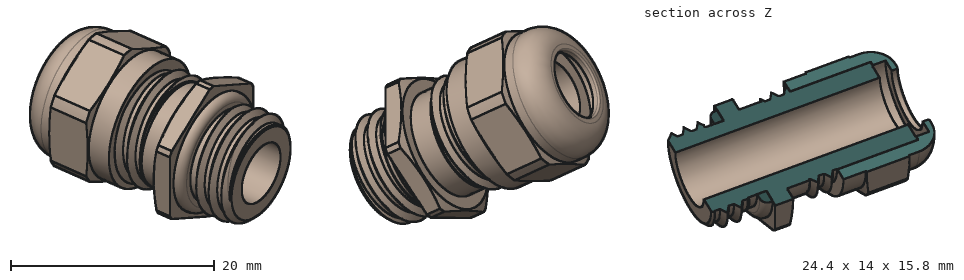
import cadquery as cq
import math


THROAT_END = 0.73
SEAT = 2.15
NUT_HEX_START = 3.73
NUT_HEX_END = 8.45
NUT_END = 10.88
SHOULDER = 13.9
FLANGE_START = 16.35
FLANGE_END = 18.35
RING_END = 19.35
ENTRY_THREAD_START = 20.3
LENGTH = 24.35

NUT_DIAMETER = 13.73
DOME_FACE_DIAMETER = 8.38
THROAT_DIAMETER = 7.05
MOUTH_ROUNDING = 0.2
CAVITY_DIAMETER = 9.9

ACROSS_FLATS = 14.0
NUT_CORNER_DIAMETER = 15.49
NUT_HEX_CHAMFER = 0.22
FLANGE_CORNER_DIAMETER = 15.8
FLANGE_CHAMFER = 0.4

BORE_DIAMETER = 6.5
STEM_DIAMETER = 10.8
COLLAR_DIAMETER = 11.1
NECK_DIAMETER = 9.9
ENTRY_ROOT_DIAMETER = 10.15
END_DIAMETER = 9.9

PITCH = 1.5
RIDGE_HEIGHT = 0.75
RIDGE_WIDTH = 0.97
RIDGE_ROOT_DEPTH = 0.05
NUT_THREAD_CREST = 12.2
ENTRY_THREAD_CREST = 21.85

RING_EDGE_DIAMETER = 11.15
RING_SECTION_RADIUS = 0.83


def turned(outline):
    """Solid of revolution about X from a closed (x, radius) outline."""
    return outline.close().revolve(360, (0, 0, 0), (1, 0, 0))


def cylinder(start, end, diameter):
    return cq.Workplane("YZ", origin=(start, 0, 0)).circle(diameter / 2).extrude(end - start)


def hexagon(start, end, corner_diameter, chamfer, face_diameter, chamfer_back):
    """Hexagonal prism with corners up and down, chamfered at the front and optionally the back."""
    prism = (
        cq.Workplane("YZ", origin=(start, 0, 0))
        .polygon(6, ACROSS_FLATS / math.cos(math.pi / 6))
        .extrude(end - start)
        .rotate((0, 0, 0), (1, 0, 0), 30)
    )
    corner_radius = corner_diameter / 2
    face_radius = face_diameter / 2
    envelope = (
        cq.Workplane("XY")
        .moveTo(start, 0)
        .lineTo(start, face_radius)
        .lineTo(start + chamfer, corner_radius)
    )
    if chamfer_back:
        envelope = envelope.lineTo(end - chamfer, corner_radius).lineTo(end, face_radius)
    else:
        envelope = envelope.lineTo(end, corner_radius)
    return prism.intersect(turned(envelope.lineTo(end, 0)))


def threaded_rod(root_diameter, crest_at_top, start, end):
    """Rod along X with a V ridge wound around it, overrunning both start and end."""
    whole_turns_before = math.ceil((crest_at_top - start) / PITCH) + 1
    turns_before = whole_turns_before + 0.5
    helix_start = crest_at_top - turns_before * PITCH
    turns = math.ceil((end - helix_start) / PITCH) + 1
    helix_length = turns * PITCH
    root_radius = root_diameter / 2
    base_radius = root_radius - RIDGE_ROOT_DEPTH
    half_base = RIDGE_WIDTH / 2 * (1 + RIDGE_ROOT_DEPTH / RIDGE_HEIGHT)
    helix = cq.Wire.makeHelix(PITCH, helix_length, root_radius)
    ridge = (
        cq.Workplane("XZ")
        .moveTo(base_radius, -half_base)
        .lineTo(root_radius + RIDGE_HEIGHT, 0)
        .lineTo(base_radius, half_base)
        .close()
        .sweep(cq.Workplane(obj=helix), isFrenet=True)
    )
    ridge = ridge.rotate((0, 0, 0), (0, 1, 0), 90).translate((helix_start, 0, 0))
    core = cylinder(helix_start - PITCH, helix_start + helix_length + PITCH, root_diameter)
    return core.union(ridge)


def make_nut():
    nut_radius = NUT_DIAMETER / 2
    throat_radius = THROAT_DIAMETER / 2
    mouth_radius = throat_radius + MOUTH_ROUNDING
    cavity_radius = CAVITY_DIAMETER / 2
    stem_radius = STEM_DIAMETER / 2
    dome_face_radius = DOME_FACE_DIAMETER / 2
    dome_rounding = nut_radius - dome_face_radius
    shell = turned(
        cq.Workplane("XY")
        .moveTo(0, mouth_radius)
        .lineTo(0, dome_face_radius)
        .radiusArc((dome_rounding, nut_radius), dome_rounding)
        .lineTo(NUT_END, nut_radius)
        .lineTo(NUT_END, stem_radius)
        .lineTo(SEAT, stem_radius)
        .lineTo(SEAT, cavity_radius)
        .lineTo(THROAT_END, cavity_radius)
        .lineTo(THROAT_END, throat_radius)
        .lineTo(MOUTH_ROUNDING, throat_radius)
        .radiusArc((0, mouth_radius), MOUTH_ROUNDING)
    )
    grip = hexagon(
        NUT_HEX_START, NUT_HEX_END, NUT_CORNER_DIAMETER, NUT_HEX_CHAMFER, NUT_DIAMETER, True
    ).cut(cylinder(NUT_HEX_START, NUT_HEX_END, STEM_DIAMETER))
    return shell.union(grip).solids()


def make_nut_thread():
    rod = threaded_rod(STEM_DIAMETER, NUT_THREAD_CREST, NUT_END, SHOULDER)
    return rod.intersect(cylinder(NUT_END, SHOULDER, NUT_DIAMETER))


def make_entry_thread():
    rod = threaded_rod(ENTRY_ROOT_DIAMETER, ENTRY_THREAD_CREST, ENTRY_THREAD_START, LENGTH)
    end_radius = END_DIAMETER / 2
    clear_radius = ENTRY_ROOT_DIAMETER / 2 + 2 * RIDGE_HEIGHT
    envelope = turned(
        cq.Workplane("XY")
        .moveTo(ENTRY_THREAD_START, 0)
        .lineTo(ENTRY_THREAD_START, clear_radius)
        .lineTo(LENGTH - (clear_radius - end_radius), clear_radius)
        .lineTo(LENGTH, end_radius)
        .lineTo(LENGTH, 0)
    )
    return rod.intersect(envelope)


def make_body():
    stem = cylinder(SEAT, NUT_END, STEM_DIAMETER)
    collar = cylinder(SHOULDER, FLANGE_START, COLLAR_DIAMETER)
    flange = hexagon(
        FLANGE_START, FLANGE_END, FLANGE_CORNER_DIAMETER, FLANGE_CHAMFER, NUT_DIAMETER, False
    )
    neck = cylinder(FLANGE_END, ENTRY_THREAD_START, NECK_DIAMETER)
    return (
        stem.union(make_nut_thread())
        .union(collar)
        .union(flange)
        .union(neck)
        .union(make_entry_thread())
        .cut(cylinder(SEAT, LENGTH, BORE_DIAMETER))
        .solids()
    )


def make_sealing_ring():
    """Ring with a rounded rim, seated on the neck against the flange."""
    neck_radius = NECK_DIAMETER / 2
    edge_radius = RING_EDGE_DIAMETER / 2
    arc_center = RING_END - RING_SECTION_RADIUS
    flange_gap = arc_center - FLANGE_END
    rim_at_flange = edge_radius + math.sqrt(RING_SECTION_RADIUS**2 - flange_gap**2)
    return turned(
        cq.Workplane("XY")
        .moveTo(FLANGE_END, neck_radius)
        .lineTo(FLANGE_END, rim_at_flange)
        .threePointArc((arc_center, edge_radius + RING_SECTION_RADIUS), (RING_END, edge_radius))
        .lineTo(RING_END, neck_radius)
    )


nut = make_nut()
body = make_body()
sealing_ring = make_sealing_ring()

result = cq.Compound.makeCompound([nut.val(), body.val(), sealing_ring.val()])